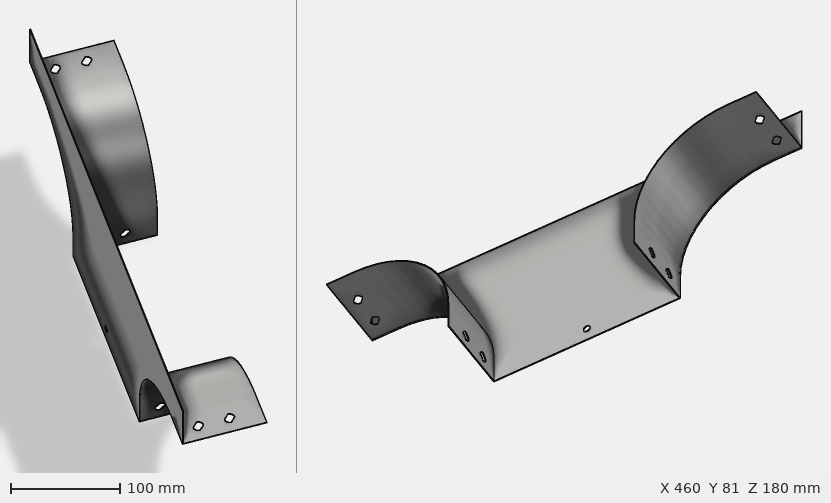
import cadquery as cq

total_width = 460.0
total_height = 180.0
total_depth = 81.0

sheet = 1.0
bend_radius = 100.0
tab_length = 30.0

web_hole_diameter = 7.0
web_hole_height = 15.0
flat_hole_diameter = 10.0
flat_hole_width = 7.0
flat_tilt = 45.0
tab_hole_depths = (20.0, 50.0)

half_width = total_width / 2
foot_half_width = half_width - tab_length - bend_radius
wing_bottom = tab_length + bend_radius
tab_middle = tab_length / 2


def stand_up(body):
    """Turn a body drawn flat so that its height runs along Z and its depth along +Y."""
    return body.rotate((0, 0, 0), (1, 0, 0), 90).mirror("XZ")


def make_web():
    """Flat T-shaped front plate with a quarter-round cutout under each wing."""
    outline = (
        cq.Workplane("XY")
        .moveTo(-foot_half_width, 0)
        .lineTo(foot_half_width, 0)
        .lineTo(foot_half_width, tab_length)
        .radiusArc((half_width - tab_length, wing_bottom), bend_radius)
        .lineTo(half_width, wing_bottom)
        .lineTo(half_width, total_height)
        .lineTo(-half_width, total_height)
        .lineTo(-half_width, wing_bottom)
        .lineTo(tab_length - half_width, wing_bottom)
        .radiusArc((-foot_half_width, tab_length), bend_radius)
        .close()
    )
    hole = cq.Workplane("XY").center(0, web_hole_height).circle(web_hole_diameter / 2).extrude(sheet)
    return stand_up(outline.extrude(sheet).cut(hole))


def make_right_flange():
    """Curved strip along the +X cutout, lying on the web side of the outline."""
    inner_foot = foot_half_width - sheet
    inner_wing = wing_bottom + sheet
    bend_end = half_width - tab_length
    strip = (
        cq.Workplane("XY")
        .moveTo(foot_half_width, 0)
        .lineTo(foot_half_width, tab_length)
        .radiusArc((bend_end, wing_bottom), bend_radius)
        .lineTo(half_width, wing_bottom)
        .lineTo(half_width, inner_wing)
        .lineTo(bend_end, inner_wing)
        .radiusArc((inner_foot, tab_length), -(bend_radius + sheet))
        .lineTo(inner_foot, 0)
        .close()
        .extrude(total_depth)
    )
    return stand_up(strip)


def flat_sided_cutter(plane, tilt):
    """Double-D cutter one sheet thick: a round hole narrowed by two parallel flats at the given tilt."""
    round_part = cq.Workplane(plane).circle(flat_hole_diameter / 2).extrude(sheet)
    band = (
        cq.Workplane(plane)
        .transformed(rotate=(0, 0, tilt))
        .rect(flat_hole_diameter, flat_hole_width)
        .extrude(sheet)
    )
    return round_part.intersect(band)


def cut_tab_holes(body):
    """Cut parallel flat-sided holes through both upright and both level tabs."""
    upright_cutter = flat_sided_cutter("YZ", flat_tilt)
    level_cutter = flat_sided_cutter("XY", -flat_tilt)
    level_center = half_width - tab_middle
    for depth in tab_hole_depths:
        for upright_start in (-foot_half_width, foot_half_width - sheet):
            body = body.cut(upright_cutter.translate((upright_start, depth, tab_middle)))
        for level_x in (-level_center, level_center):
            body = body.cut(level_cutter.translate((level_x, depth, wing_bottom)))
    return body


web = make_web()
right_flange = make_right_flange()
left_flange = right_flange.mirror("YZ")
result = cut_tab_holes(web.union(right_flange).union(left_flange))